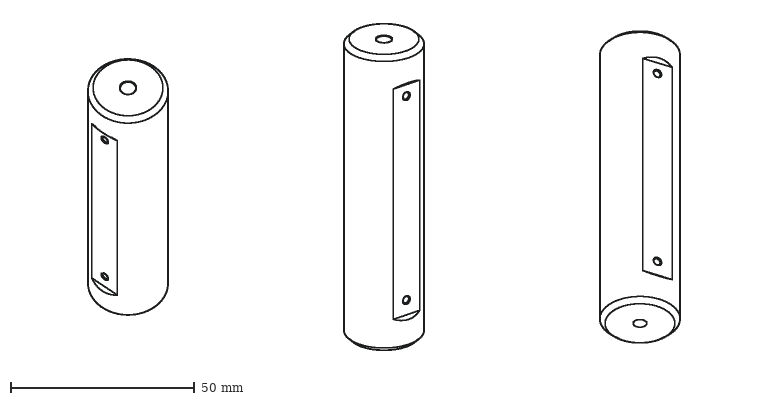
import cadquery as cq

length = 90.0
diameter = 22.0
radius = diameter / 2
end_chamfer = 1.4

bore_diameter = 3.7
top_bore_diameter = 4.2
top_bore_depth = 18.0
top_mouth_diameter = 4.6

flat_depth = 1.0
flat_end_margin = 9.0
flat_half_length = length / 2 - flat_end_margin

cross_hole_diameter = 2.0
cross_mouth_diameter = 2.5
cross_hole_heights = (-30.5, 31.5)


def countersunk_hole(hole_diameter, mouth_diameter, depth):
    """Cutter along Z, centred on the origin, with 45 degree cones at both ends."""
    hole_radius = hole_diameter / 2
    mouth_radius = mouth_diameter / 2
    end = depth / 2
    cone_start = end - (mouth_radius - hole_radius)
    return (
        cq.Workplane("XZ")
        .moveTo(0, -end)
        .lineTo(mouth_radius, -end)
        .lineTo(hole_radius, -cone_start)
        .lineTo(hole_radius, cone_start)
        .lineTo(mouth_radius, end)
        .lineTo(0, end)
        .close()
        .revolve(360, (0, 0, 0), (0, 1, 0))
    )


def flat_cutter(side):
    """Trapezoidal cutter for the flat on the +Y (side = 1) or -Y (side = -1) face."""
    floor = side * (radius - flat_depth)
    surface = side * radius
    floor_half_length = flat_half_length - flat_depth
    return (
        cq.Workplane("YZ")
        .polyline([
            (floor, -floor_half_length),
            (surface, -flat_half_length),
            (surface, flat_half_length),
            (floor, floor_half_length),
        ])
        .close()
        .extrude(radius, both=True)
    )


result = cq.Workplane("XY").cylinder(length, radius).edges("%CIRCLE").chamfer(end_chamfer)

for side in (-1, 1):
    result = result.cut(flat_cutter(side))

top_face = result.faces(">Z").workplane()
result = top_face.cboreHole(bore_diameter, top_bore_diameter, top_bore_depth)
mouth_chamfer = (top_mouth_diameter - top_bore_diameter) / 2
mouth_edge = cq.selectors.RadiusNthSelector(0)
result = result.faces(">Z").edges(mouth_edge).chamfer(mouth_chamfer)

flat_distance = diameter - 2 * flat_depth
cross_hole = countersunk_hole(cross_hole_diameter, cross_mouth_diameter, flat_distance)
cross_hole = cross_hole.rotate((0, 0, 0), (1, 0, 0), 90)
for height in cross_hole_heights:
    result = result.cut(cross_hole.translate((0, 0, height)))